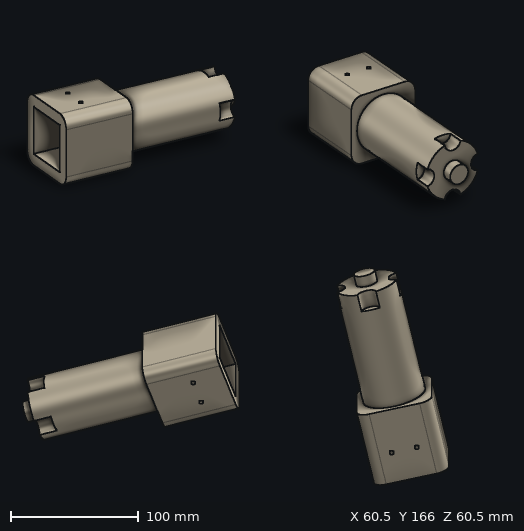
import cadquery as cq

total_length = 166.0
socket_width = 60.5
socket_length = 60.5
wall = 10.0
corner_radius = 10.0
shaft_diameter = 50.0
tip_diameter = 17.0
tip_length = 9.0
notch_radius = 7.5
notch_length = 14.0
pin_hole_diameter = 3.3
pin_hole_spacing = 20.3
pin_hole_y = 25.0

opening_width = socket_width - 2 * wall
opening_depth = socket_length - wall
shaft_end_y = total_length - tip_length
shaft_radius = shaft_diameter / 2


def plane_at(y):
    """XZ plane at the given Y whose normal points along +Y."""
    return cq.Workplane(cq.Plane(origin=(0, y, 0), xDir=(1, 0, 0), normal=(0, 1, 0)))


def make_socket():
    """Square block with rounded long edges and a square blind opening."""
    block = plane_at(0).rect(socket_width, socket_width).extrude(socket_length)
    block = block.edges("|Y").fillet(corner_radius)
    opening = plane_at(0).rect(opening_width, opening_width).extrude(opening_depth)
    return block.cut(opening)


def make_shaft():
    """Round shaft with a narrower tip."""
    shaft = plane_at(socket_length).circle(shaft_radius).extrude(shaft_end_y - socket_length)
    tip = plane_at(shaft_end_y).circle(tip_diameter / 2).extrude(tip_length)
    return shaft.union(tip)


def make_notches():
    """Four round notches, centred on the shaft surface, at the shaft end."""
    return (
        plane_at(shaft_end_y - notch_length)
        .polarArray(shaft_radius, 0, 360, 4)
        .circle(notch_radius)
        .extrude(notch_length)
    )


def make_pin_holes():
    """Two vertical holes through both socket walls."""
    return (
        cq.Workplane("XY")
        .pushPoints([(side * pin_hole_spacing / 2, pin_hole_y) for side in (-1, 1)])
        .circle(pin_hole_diameter / 2)
        .extrude(socket_width, both=True)
    )


result = make_socket().union(make_shaft()).cut(make_notches()).cut(make_pin_holes())